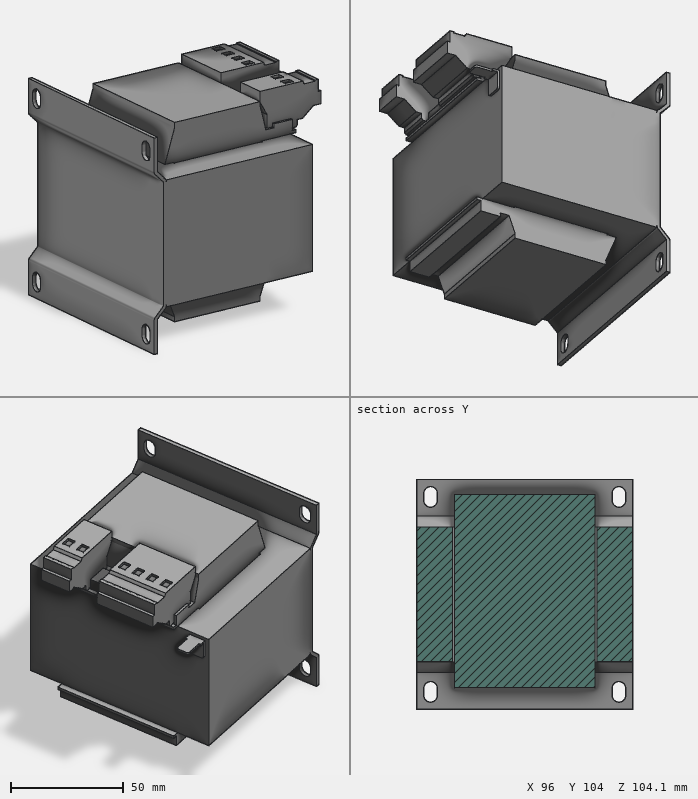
import cadquery as cq


core_width = 96.0
core_half_height = 30.0
core_front = 6.8
core_back = 86.5
window_width = 64.1
window_front = 22.6
window_back = 70.4

bobbin_width = 62.4
bobbin_foot_front = 17.9
bobbin_top_front = 23.2
bobbin_top_back = 69.9
bobbin_slope_back = 73.0
coil_top = 48.7
coil_bottom = 45.5
coil_edge_height = 2.4
rail_front = 77.5
rail_back = 87.5
rail_height = 36.6
ledge_height = 34.8
lip_back = 89.5
lip_height = 31.3

bracket_half_height = 51.1
base_face = 5.1
flange_thickness = 2.0
flange_corner = 34.3
bend_radius = 2.1
inner_bend_radius = bend_radius - (core_front - base_face)
slot_width = 5.9
slot_height = 9.1
slot_x = 41.8
slot_z = 43.3

terminal_pitch = 15.0
terminal_top = 53.0
terminal_front = 70.8
terminal_back = 104.0
terminal_neck_front = 74.6
terminal_neck_top = 41.2
terminal_nose_bottom = 47.7
clip_back = 91.1
clip_bottom = 32.0
clip_top = 35.4
clip_bevel = 0.9
belly_front = 93.9
nib_front = 99.9
nib_bottom = 40.2
nib_top = 46.3
rim_back = 102.6
rim_front = 100.7
rim_top = 52.0
step_front = 94.1
step_back = 94.9
step_height = 51.5
terminal_places = (-1.5, -0.5, 1.5)
opening_width = 3.6
opening_length = 4.5
opening_y = 88.1
opening_offset = 3.7
opening_depth = 1.2

tab_x = -41.8
tab_thickness = 1.0
tab_top = 28.4
tab_bottom = 18.8
tab_tip = 98.1
tab_width = 6.3
tab_base_width = 8.2
tab_base_back = 89.8
tab_corner = 1.2


def box(x_range, y_range, z_range):
    """Box between the given pairs of limits."""
    ranges = (x_range, y_range, z_range)
    size = [high - low for low, high in ranges]
    return cq.Workplane("XY").box(*size, centered=False).translate(tuple(low for low, high in ranges))


def extrude_across(profile, width, x_middle=0.0):
    """Extrude a closed YZ profile symmetrically about x_middle."""
    return profile.extrude(width / 2, both=True).translate((x_middle, 0, 0))


def side_profile(points):
    return cq.Workplane("YZ").polyline(points).close()


def make_core():
    half_width = core_width / 2
    heights = (-core_half_height, core_half_height)
    core = box((-half_width, half_width), (core_front, core_back), heights)
    window = box((-window_width / 2, window_width / 2), (window_front, window_back), heights)
    return core.cut(window)


def make_bobbin_end(height):
    """Coil cover with the terminal rail, standing on the core's upper face."""
    edge = height - coil_edge_height
    profile = side_profile([
        (bobbin_foot_front, core_half_height),
        (bobbin_top_front, edge),
        (bobbin_top_front, height),
        (bobbin_top_back, height),
        (bobbin_top_back, edge),
        (bobbin_slope_back, ledge_height),
        (rail_front, ledge_height),
        (rail_front, rail_height),
        (rail_back, rail_height),
        (rail_back, lip_height),
        (lip_back, lip_height),
        (lip_back, core_half_height),
    ])
    return extrude_across(profile, bobbin_width)


def make_bobbin():
    half_width = bobbin_width / 2
    heights = (-core_half_height, core_half_height)
    coil = box((-half_width, half_width), (window_front, window_back), heights)
    lower_end = make_bobbin_end(coil_bottom).mirror("XY")
    return coil.union(make_bobbin_end(coil_top)).union(lower_end)


def make_flange():
    """Upper half of the bracket: base plate, 45 degree step and slotted flange."""
    base_corner = flange_corner - base_face
    inner_corner = core_half_height + core_front - flange_thickness
    flange = extrude_across(side_profile([
        (0, bracket_half_height),
        (0, flange_corner),
        (base_face, base_corner),
        (base_face, 0),
        (core_front, 0),
        (core_front, core_half_height),
        (flange_thickness, inner_corner),
        (flange_thickness, bracket_half_height),
    ]), core_width)
    bends = (
        (0, flange_corner, bend_radius),
        (core_front, core_half_height, bend_radius),
        (base_face, base_corner, inner_bend_radius),
    )
    for y, z, radius in bends:
        flange = flange.edges(cq.NearestToPointSelector((0, y, z))).fillet(radius)
    slots = (
        cq.Workplane("XZ")
        .pushPoints([(-slot_x, slot_z), (slot_x, slot_z)])
        .slot2D(slot_height, slot_width, 90)
        .extrude(-flange_thickness)
    )
    return flange.cut(slots)


def make_bracket():
    flange = make_flange()
    return flange.union(flange.mirror("XY"))


def make_terminal(x_middle):
    """Clip-on terminal block with two screwdriver openings."""
    profile = side_profile([
        (terminal_front, terminal_top),
        (terminal_front, terminal_nose_bottom),
        (terminal_neck_front, terminal_neck_top),
        (terminal_neck_front, ledge_height),
        (rail_front, ledge_height),
        (rail_front, rail_height),
        (rail_back, rail_height),
        (rail_back, clip_bottom),
        (clip_back - clip_bevel, clip_bottom),
        (clip_back, clip_bottom + clip_bevel),
        (clip_back, clip_top),
        (belly_front, clip_top),
        (nib_front, nib_bottom),
        (terminal_back, nib_bottom),
        (terminal_back, nib_top),
        (rim_back, nib_top),
        (rim_back, rim_top),
        (rim_front, rim_top),
        (rim_front, step_height),
        (step_back, step_height),
        (step_front, terminal_top),
    ])
    block = extrude_across(profile, terminal_pitch, x_middle)
    openings = (
        cq.Workplane("XY", origin=(x_middle, opening_y, terminal_top))
        .pushPoints([(-opening_offset, 0), (opening_offset, 0)])
        .rect(opening_width, opening_length)
        .extrude(-opening_depth)
    )
    return block.cut(openings)


def make_earth_tab():
    """Angled earth tab on the back of the core: a plate and a push-on blade."""
    half_base = tab_base_width / 2
    base_range = (tab_x - half_base, tab_x + half_base)
    blade_range = (tab_x - tab_width / 2, tab_x + tab_width / 2)
    thickness_range = (tab_top - tab_thickness, tab_top)
    plate = box(base_range, (core_back, core_back + tab_thickness), (tab_bottom, tab_top))
    plate = plate.edges("|Y and <Z").fillet(tab_corner)
    root = box(base_range, (core_back, tab_base_back), thickness_range)
    blade = box(blade_range, (core_back, tab_tip), thickness_range)
    blade = blade.edges("|Z and >Y").fillet(tab_corner)
    return plate.union(root).union(blade)


result = make_core().union(make_bobbin()).union(make_bracket()).union(make_earth_tab())
for place in terminal_places:
    result = result.union(make_terminal(place * terminal_pitch))